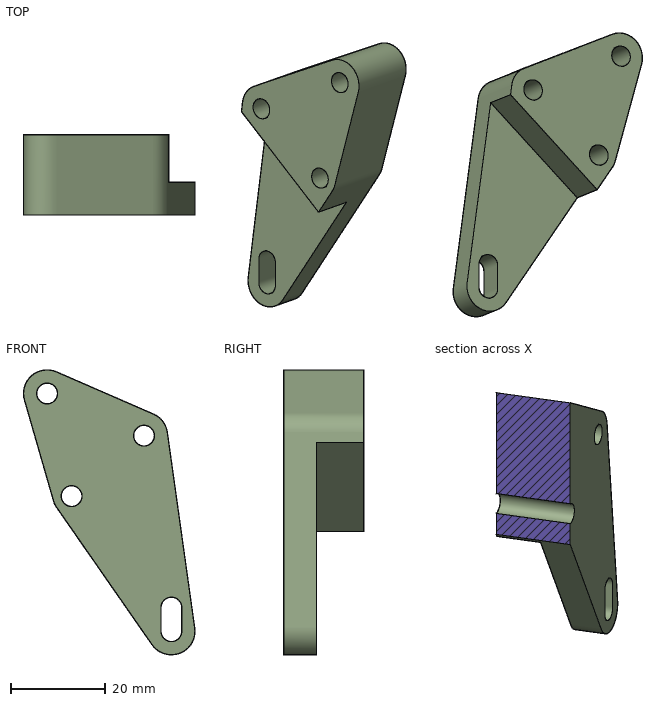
import cadquery as cq
import math

plate_thickness = 7.0
total_thickness = 17.0
total_height = 60.4

hole_diameter = 4.35
large_radius = 5.0
small_radius = 4.0
slot_travel = 5.0

top_hole = (0.0, 0.0)
right_hole = (20.55, -8.95)
left_hole = (5.2, -21.75)
slot_bottom = (26.3, 2 * large_radius - total_height)

block_left_end = (5.7, -29.15)
block_right_end = (25.8, -10.4)
cut_reach = total_height

corners = [
    (top_hole, large_radius),
    (left_hole, small_radius),
    (slot_bottom, large_radius),
    (right_hole, large_radius),
]


def along(point, angle, distance):
    """Point at a distance from another one, in the direction of an angle."""
    return (point[0] + distance * math.cos(angle), point[1] + distance * math.sin(angle))


def side_normal(start, end):
    """Outward angle of the straight side tangent to two neighbouring corner circles."""
    (x1, z1), r1 = start
    (x2, z2), r2 = end
    heading = math.atan2(z2 - z1, x2 - x1)
    return heading - math.acos((r1 - r2) / math.hypot(x2 - x1, z2 - z1))


def front_sketch():
    """Workplane on the front face, with its local axes along X and Z."""
    return cq.Workplane("XZ")


def make_outline(thickness):
    """Solid bounded by the corner arcs and the sides tangent to them."""
    count = len(corners)
    normals = [side_normal(corners[i], corners[(i + 1) % count]) for i in range(count)]
    first_center, first_radius = corners[0]
    outline = front_sketch().moveTo(*along(first_center, normals[-1], first_radius))
    for i, (center, radius) in enumerate(corners):
        turn = (normals[i] - normals[i - 1]) % (2 * math.pi)
        arc_middle = along(center, normals[i - 1] + turn / 2, radius)
        arc_end = along(center, normals[i], radius)
        outline = outline.threePointArc(arc_middle, arc_end)
        next_center, next_radius = corners[(i + 1) % count]
        if i < count - 1:
            outline = outline.lineTo(*along(next_center, normals[i], next_radius))
    return outline.close().extrude(-thickness)


def make_block():
    """Full-thickness upper part, cut off along its sloping underside."""
    slope = math.atan2(block_right_end[1] - block_left_end[1], block_right_end[0] - block_left_end[0])
    cut_start = along(block_left_end, slope, -cut_reach)
    cut_end = along(block_right_end, slope, cut_reach)
    upward = slope + math.pi / 2
    upper_region = (
        front_sketch()
        .polyline([
            cut_start,
            cut_end,
            along(cut_end, upward, cut_reach),
            along(cut_start, upward, cut_reach),
        ])
        .close()
        .extrude(-total_thickness)
    )
    return make_outline(total_thickness).intersect(upper_region)


def make_holes():
    """Three round through holes."""
    return (
        front_sketch()
        .pushPoints([top_hole, right_hole, left_hole])
        .circle(hole_diameter / 2)
        .extrude(-total_thickness)
    )


def make_slot():
    """Upright through slot whose lower end is concentric with the bottom corner."""
    return (
        front_sketch()
        .center(slot_bottom[0], slot_bottom[1] + slot_travel / 2)
        .slot2D(slot_travel + hole_diameter, hole_diameter, 90)
        .extrude(-total_thickness)
    )


result = make_outline(plate_thickness).union(make_block()).cut(make_holes()).cut(make_slot())